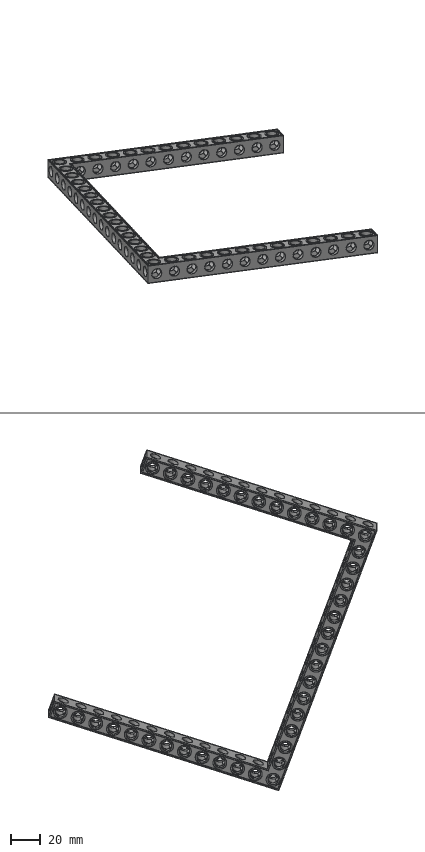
import cadquery as cq

overall_width = 200.0
holes_across = 16
holes_along_arm = 13
cell_gap = 0.2
bar_height = 12.5
bore_diameter = 7.0
collar_diameter = 9.2
recess_depth = 0.2
rim_width = 1.0

pitch = (overall_width + cell_gap) / holes_across
bar_width = pitch - cell_gap
overall_depth = holes_along_arm * pitch - cell_gap

row_x = [bar_width / 2 + i * pitch for i in range(holes_across)]
row_y = [bar_width / 2 + i * pitch for i in range(holes_along_arm)]
mid_height = bar_height / 2
cell_centres = [(x, row_y[0]) for x in row_x]
for arm_x in (row_x[0], row_x[-1]):
    cell_centres += [(arm_x, y) for y in row_y[1:]]


def frame_slab(inset, bottom, height):
    """U-shaped slab whose outline lies inside the frame outline by the inset."""
    left = inset
    right = overall_width - inset
    front = inset
    back = overall_depth - inset
    inner_left = bar_width - inset
    inner_right = overall_width - inner_left
    inner_front = bar_width - inset
    outline = [
        (left, front),
        (right, front),
        (right, back),
        (inner_right, back),
        (inner_right, inner_front),
        (inner_left, inner_front),
        (inner_left, back),
        (left, back),
    ]
    return cq.Workplane("XY", origin=(0, 0, bottom)).polyline(outline).close().extrude(height)


def cell_cylinders(diameter, bottom, height):
    """One upright cylinder in every cell."""
    return (
        cq.Workplane("XY", origin=(0, 0, bottom))
        .pushPoints(cell_centres)
        .circle(diameter / 2)
        .extrude(height)
    )


def face_recess(bottom):
    """Shallow recess inside the rim that leaves a round collar at every cell."""
    floor_area = frame_slab(rim_width, bottom, recess_depth)
    return floor_area.cut(cell_cylinders(collar_diameter, bottom, recess_depth))


def bores_along_y():
    """Bores along Y through the crossbar; the end two run the length of the arms."""
    return (
        cq.Workplane("XZ")
        .pushPoints([(x, mid_height) for x in row_x])
        .circle(bore_diameter / 2)
        .extrude(-overall_depth)
    )


def bores_along_x():
    """Bores along X through both arms; the first runs the length of the crossbar."""
    return (
        cq.Workplane("YZ")
        .pushPoints([(y, mid_height) for y in row_y])
        .circle(bore_diameter / 2)
        .extrude(overall_width)
    )


result = (
    frame_slab(0, 0, bar_height)
    .cut(face_recess(0))
    .cut(face_recess(bar_height - recess_depth))
    .cut(cell_cylinders(bore_diameter, 0, bar_height))
    .cut(bores_along_y())
    .cut(bores_along_x())
)